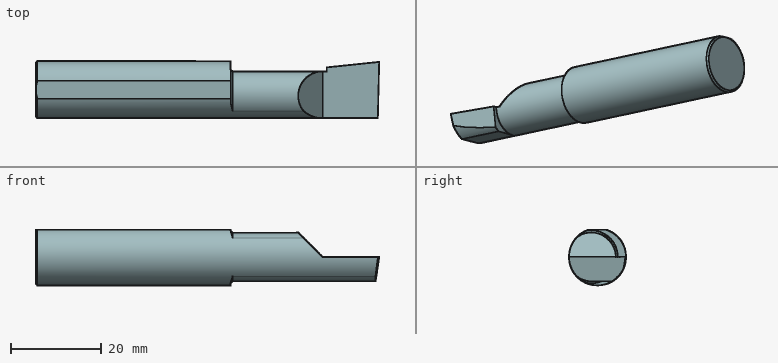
import cadquery as cq
import math

length = 76.2
shank_radius = 6.35
shank_length = 43.2
flat_width = 4.0
rear_chamfer = 0.4

neck_radius = 5.4
neck_offset = -1.4
root_chamfer = 0.45

face_start = 63.6
head_start = 64.55
tip_y = 6.2
flank_start_y = 4.95
end_setback = 0.3
relief_angle = 8.0

margin = 15.25


def rod(radius, start, end, y=0):
    """Cylinder along X between two stations."""
    return cq.Workplane("YZ", origin=(start, y, 0)).circle(radius).extrude(end - start)


def make_shank():
    flat_height = math.sqrt(shank_radius**2 - (flat_width / 2) ** 2)
    flat_cut = cq.Workplane("XY", origin=(0, 0, flat_height)).rect(3 * length, 3 * margin).extrude(margin)
    return rod(shank_radius, 0, shank_length).faces("<X").chamfer(rear_chamfer).cut(flat_cut)


def make_neck():
    neck = rod(neck_radius, shank_length, length, neck_offset)
    root_radius = neck_radius + root_chamfer
    root = cq.Workplane("YZ", origin=(shank_length, neck_offset, 0))
    root = root.circle(root_radius).extrude(root_chamfer, taper=45)
    return neck.union(root).intersect(rod(shank_radius, shank_length, length))


def make_head_flare():
    """Part of the shank cylinder kept on the +Y side of the head."""
    head_length = length - head_start
    block = cq.Workplane("XY").box(head_length, margin, neck_radius, centered=False)
    block = block.translate((head_start, neck_offset, -neck_radius))
    return rod(shank_radius, head_start, length).intersect(block)


def trim_head(body):
    """Cut the sloped ramp, the flat face and the relieved end and flank."""
    ramp_rise = margin
    face_cut = (
        cq.Workplane("XZ", origin=(0, margin, 0))
        .moveTo(face_start, 0)
        .lineTo(length + margin, 0)
        .lineTo(length + margin, ramp_rise)
        .lineTo(face_start - ramp_rise, ramp_rise)
        .close()
        .extrude(2 * margin)
    )
    end_slope = end_setback / (tip_y + shank_radius)
    flank_slope = (tip_y - flank_start_y) / (length - head_start)
    inner_x = head_start - margin
    plan = (
        cq.Workplane("XY")
        .moveTo(inner_x, -margin)
        .lineTo(length - end_slope * (tip_y + margin), -margin)
        .lineTo(length, tip_y)
        .lineTo(inner_x, tip_y - flank_slope * (length - inner_x))
        .close()
        .extrude(-margin / 2, taper=relief_angle)
    )
    head_zone = cq.Workplane("XY").box(margin, 2 * margin, 2 * margin, centered=(False, True, True))
    head_zone = head_zone.translate((head_start, 0, 0))
    return body.cut(face_cut).cut(head_zone.cut(plan))


result = trim_head(make_shank().union(make_neck()).union(make_head_flare()))